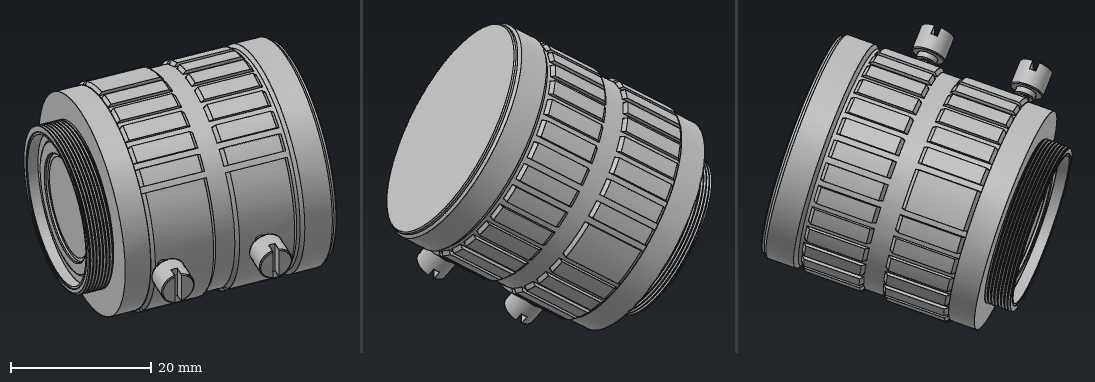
import cadquery as cq

outer_radius = 17.0
waist_radius = 16.5
rear_radius = 16.6
nose_radius = rear_radius
edge_chamfer = outer_radius - waist_radius

mount_length = 3.95
rear_ring_front = 7.9
lower_grip_front = 17.9
upper_grip_rear = 20.9
upper_grip_front = 30.4
front_ring_rear = 30.9
front_ring_front = 36.1
barrel_front = 36.6
front_bevel = 0.2

slot_width = 0.95
slot_pitch = 12
first_slot_angle = 40.3
slot_count = 24
lower_grip_missing_slots = (6, 18)

thread_radius = 12.5
thread_pitch = 0.5
thread_depth = 0.3
groove_width = 0.38
groove_overcut = 0.1
groove_end_angle = -40
mount_bore_radius = 11.2
step_radius = 11.5
mouth_chamfer = 0.1
bore_depth = 1.7

holder_height = 0.25
holder_base_radius = 10.05
holder_top_radius = 9.75
recess_radius = 8
recess_chamfer = 0.15
recess_depth = 0.5
glass_radius = 7.5
glass_thickness = 2

screw_stations = (9.55, 24.6)
screw_tip = 23.0
shank_root = 16
shank_radius = 0.8
collar_radius = 1.5
collar_start = 17.95
head_radius = 2.5
head_start = 18.95
screw_chamfer = 0.15
driver_slot_width = 0.95
driver_slot_depth = 1.5

holder_top = bore_depth - holder_height
recess_floor = holder_top + recess_depth


def revolved(points):
    """Solid of revolution about the Y axis from (radius, station) points."""
    return cq.Workplane("XY").polyline(points).close().revolve(360, (0, 0, 0), (0, 1, 0))


def make_barrel_core():
    """Barrel without the ribs: rear ring, waist and bevelled front ring."""
    return revolved([
        (0, mount_length),
        (rear_radius, mount_length),
        (rear_radius, rear_ring_front),
        (waist_radius, rear_ring_front),
        (waist_radius, front_ring_rear),
        (outer_radius, front_ring_rear + edge_chamfer),
        (outer_radius, front_ring_front - (outer_radius - nose_radius)),
        (nose_radius, front_ring_front),
        (nose_radius, barrel_front - front_bevel),
        (nose_radius - front_bevel, barrel_front),
        (0, barrel_front),
    ])


def make_grip(rear, front, missing_slots=()):
    """Ring of bevelled ribs standing on the waist between two stations."""
    grip = revolved([
        (waist_radius, rear),
        (outer_radius, rear + edge_chamfer),
        (outer_radius, front - edge_chamfer),
        (waist_radius, front),
    ])
    slot = (
        cq.Workplane("XY")
        .box(outer_radius, front - rear, slot_width, centered=(False, False, True))
        .translate((outer_radius / 2, rear, 0))
    )
    for index in range(slot_count):
        if index not in missing_slots:
            angle = first_slot_angle + index * slot_pitch
            grip = grip.cut(slot.rotate((0, 0, 0), (0, 1, 0), -angle))
    return grip


def make_threaded_rod():
    """Rod with a right-handed V groove, longer than the mount at both ends."""
    groove_length = mount_length + 2 * thread_pitch
    rod_length = groove_length + 2 * thread_pitch
    root_radius = thread_radius - thread_depth
    flare = 1 + groove_overcut / thread_depth
    half_width = flare * groove_width / 2
    path = cq.Workplane(obj=cq.Wire.makeHelix(thread_pitch, groove_length, thread_radius))
    groove = (
        cq.Workplane("XZ")
        .polyline([
            (root_radius, 0),
            (thread_radius + groove_overcut, half_width),
            (thread_radius + groove_overcut, -half_width),
        ])
        .close()
        .sweep(path, isFrenet=True)
    )
    rod = cq.Workplane("XY").circle(thread_radius).extrude(rod_length).translate((0, 0, -thread_pitch))
    rod = rod.cut(groove)
    turns_to_end = (groove_length - thread_pitch) / thread_pitch
    rod = rod.rotate((0, 0, 0), (0, 0, 1), groove_end_angle - 360 * turns_to_end)
    rod = rod.rotate((0, 0, 0), (1, 0, 0), 90)
    return rod.translate((0, groove_length - thread_pitch, 0))


def make_mount():
    """Threaded tube with a stepped bore mouth and the rear lens holder on the bore floor."""
    mount = revolved([
        (0, mount_length),
        (thread_radius, mount_length),
        (thread_radius, 0),
        (step_radius + mouth_chamfer, 0),
        (step_radius, mouth_chamfer),
        (mount_bore_radius, mouth_chamfer),
        (mount_bore_radius, bore_depth),
        (holder_base_radius, bore_depth),
        (holder_top_radius, holder_top),
        (recess_radius + recess_chamfer, holder_top),
        (recess_radius, holder_top + recess_chamfer),
        (recess_radius, recess_floor),
        (0, recess_floor),
    ])
    return mount.intersect(make_threaded_rod())


def make_glass():
    """Rear lens glass, flush with the floor of the holder recess."""
    return revolved([
        (0, recess_floor),
        (glass_radius, recess_floor),
        (glass_radius, recess_floor + glass_thickness),
        (0, recess_floor + glass_thickness),
    ])


def make_thumbscrew(station):
    """Slotted thumbscrew formed on the barrel, its axis along X."""
    screw = (
        cq.Workplane("XY")
        .polyline([
            (shank_root, 0),
            (shank_root, shank_radius),
            (collar_start, shank_radius),
            (collar_start, collar_radius - screw_chamfer),
            (collar_start + screw_chamfer, collar_radius),
            (head_start, collar_radius),
            (head_start, head_radius - screw_chamfer),
            (head_start + screw_chamfer, head_radius),
            (screw_tip - screw_chamfer, head_radius),
            (screw_tip, head_radius - screw_chamfer),
            (screw_tip, 0),
        ])
        .close()
        .revolve(360, (0, 0, 0), (1, 0, 0))
    )
    driver_slot = cq.Workplane("XY").box(2 * driver_slot_depth, driver_slot_width, 2 * outer_radius)
    return screw.cut(driver_slot.translate((screw_tip, 0, 0))).translate((0, station, 0))


glass = make_glass()

housing = make_barrel_core().union(make_mount().cut(glass)).cut(glass)
housing = housing.union(make_grip(rear_ring_front, lower_grip_front, lower_grip_missing_slots))
housing = housing.union(make_grip(upper_grip_rear, upper_grip_front))
for screw_station in screw_stations:
    housing = housing.union(make_thumbscrew(screw_station))

result = cq.Compound.makeCompound([housing.val(), glass.val()])